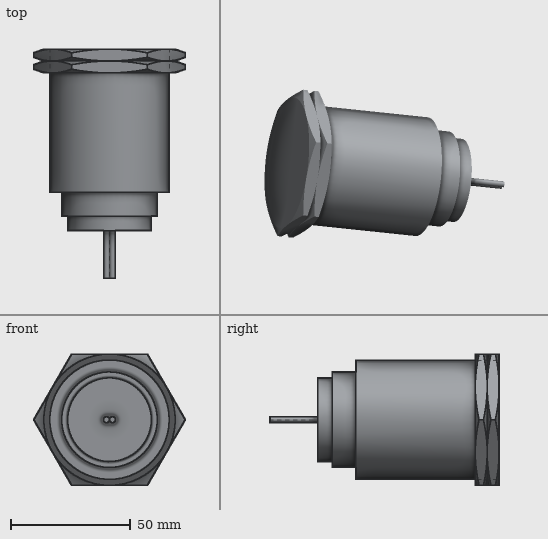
import cadquery as cq
import math

NUT_ACROSS_FLATS = 55.0
NUT_THICKNESS = 5.0
NUT_COUNT = 2
NUT_CHAMFER_ANGLE = 20.0
BARREL_DIAMETER = 50.0
BARREL_EXPOSED_LENGTH = 50.0
COLLAR_DIAMETER = 40.0
COLLAR_LENGTH = 10.0
CAP_DIAMETER = 35.0
CAP_LENGTH = 6.0
WIRE_DIAMETER = 2.5
WIRE_SPACING = WIRE_DIAMETER
WIRE_LENGTH = 20.0

NUT_ACROSS_CORNERS = NUT_ACROSS_FLATS / math.cos(math.radians(30))
BARREL_LENGTH = NUT_COUNT * NUT_THICKNESS + BARREL_EXPOSED_LENGTH
BODY_LENGTH = BARREL_LENGTH + COLLAR_LENGTH + CAP_LENGTH


def rod(diameter, length, start, x=0):
    """Round bar running toward -Y from a distance `start` behind the sensing face."""
    return cq.Workplane("XZ", origin=(x, -start, 0)).circle(diameter / 2).extrude(length)


def make_sensor():
    """Stepped round body with a pair of connection wires."""
    sensor = rod(BARREL_DIAMETER, BARREL_LENGTH, 0)
    sensor = sensor.union(rod(COLLAR_DIAMETER, COLLAR_LENGTH, BARREL_LENGTH))
    sensor = sensor.union(rod(CAP_DIAMETER, CAP_LENGTH, BARREL_LENGTH + COLLAR_LENGTH))
    for side in (-1, 1):
        sensor = sensor.union(rod(WIRE_DIAMETER, WIRE_LENGTH, BODY_LENGTH, side * WIRE_SPACING / 2))
    return sensor


def make_nut(start):
    """Hexagonal nut with corners on X, chamfered on both faces and bored for the barrel."""
    hexagon = (
        cq.Workplane("XZ", origin=(0, -start, 0))
        .polygon(6, NUT_ACROSS_CORNERS)
        .extrude(NUT_THICKNESS)
    )
    face_radius = NUT_ACROSS_FLATS / 2
    corner_radius = NUT_ACROSS_CORNERS / 2
    chamfer_depth = (corner_radius - face_radius) * math.tan(math.radians(NUT_CHAMFER_ANGLE))
    envelope = (
        cq.Workplane("XY", origin=(0, -start, 0))
        .polyline([
            (0, 0),
            (face_radius, 0),
            (corner_radius, -chamfer_depth),
            (corner_radius, chamfer_depth - NUT_THICKNESS),
            (face_radius, -NUT_THICKNESS),
            (0, -NUT_THICKNESS),
        ])
        .close()
        .revolve(360, (0, 0, 0), (0, 1, 0))
    )
    return hexagon.intersect(envelope).cut(rod(BARREL_DIAMETER, NUT_THICKNESS, start))


sensor = make_sensor()
nuts = [make_nut(index * NUT_THICKNESS).solids().val() for index in range(NUT_COUNT)]

result = cq.Compound.makeCompound([sensor.solids().val(), *nuts])